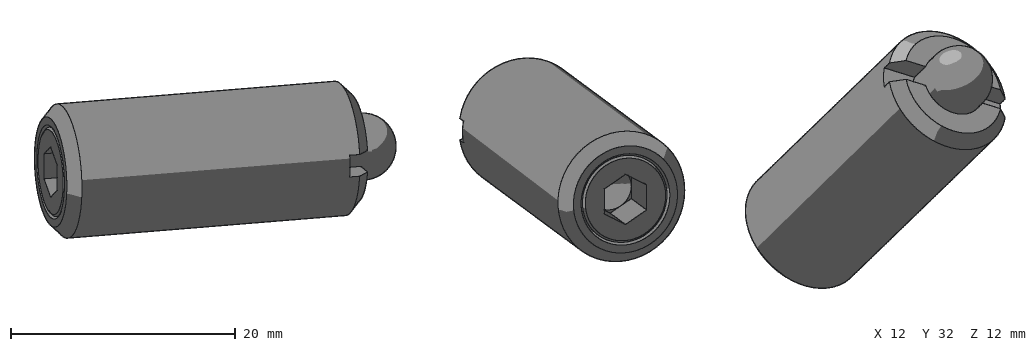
import cadquery as cq
import math


body_diameter = 12.0
body_length = 28.0
body_chamfer = 1.075

pin_diameter = 6.0
pin_radius = pin_diameter / 2
pin_straight_length = 1.0

slot_width = 2.0
slot_depth = 2.0

plug_diameter = 8.0
groove_half_width = 0.2
groove_depth = 0.2

socket_sides = 6
socket_across_flats = 4.0
socket_depth = 4.0
socket_drill_angle = 120.0

socket_end = 0.0
pin_end = socket_end + body_length
pin_shoulder = pin_end + pin_straight_length
pin_tip = pin_shoulder + pin_radius


def revolve_about_axis(profile):
    """Full turn of a closed XY profile about the Y axis."""
    return profile.revolve(360, (0, 0, 0), (0, 1, 0))


def make_body():
    """Cylindrical body with a chamfer on both ends."""
    cylinder = cq.Workplane("XZ", origin=(0, pin_end, 0)).circle(body_diameter / 2).extrude(body_length)
    return cylinder.faces("<Y or >Y").chamfer(body_chamfer)


def make_slot():
    """Straight slot running across the whole pin end along X."""
    return cq.Workplane("XY").box(body_diameter, slot_depth, slot_width).translate(
        (0, pin_end - slot_depth / 2, 0)
    )


def make_pin():
    """Round pin with a hemispherical tip, reaching down to the slot floor."""
    dome_middle = pin_radius * math.sqrt(0.5)
    profile = (
        cq.Workplane("XY")
        .moveTo(0, pin_end - slot_depth)
        .lineTo(pin_radius, pin_end - slot_depth)
        .lineTo(pin_radius, pin_shoulder)
        .threePointArc((dome_middle, pin_shoulder + dome_middle), (0, pin_tip))
        .close()
    )
    return revolve_about_axis(profile)


def make_groove():
    """Ring of V section around the plug."""
    plug_radius = plug_diameter / 2
    profile = (
        cq.Workplane("XY")
        .moveTo(plug_radius - groove_half_width, socket_end)
        .lineTo(plug_radius, socket_end + groove_depth)
        .lineTo(plug_radius + groove_half_width, socket_end)
        .close()
    )
    return revolve_about_axis(profile)


def make_socket():
    """Hexagon socket, flats facing +X and -X, with a drill-point cone at its floor."""
    half_step = math.pi / socket_sides
    corner_radius = socket_across_flats / 2 / math.cos(half_step)
    corner_angles = [(2 * corner + 1) * half_step for corner in range(socket_sides)]
    corners = [(corner_radius * math.cos(angle), corner_radius * math.sin(angle)) for angle in corner_angles]
    hexagon = cq.Workplane("XZ", origin=(0, socket_end, 0)).polyline(corners).close().extrude(-socket_depth)

    drill_radius = socket_across_flats / 2
    cone_height = drill_radius / math.tan(math.radians(socket_drill_angle / 2))
    floor = socket_end + socket_depth
    cone_profile = (
        cq.Workplane("XY")
        .moveTo(0, floor)
        .lineTo(drill_radius, floor)
        .lineTo(0, floor + cone_height)
        .close()
    )
    return hexagon.union(revolve_about_axis(cone_profile))


slotted_body = make_body().cut(make_slot())
result = slotted_body.union(make_pin()).cut(make_groove()).cut(make_socket())